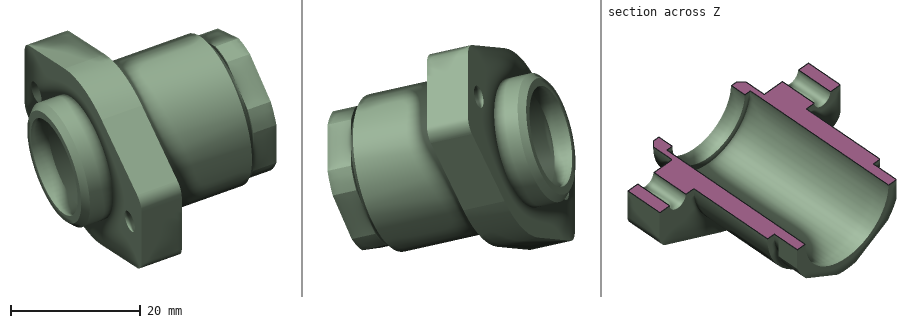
import cadquery as cq
import math

SPIGOT_END = 0.0
FLANGE_FRONT = 5.0
FLANGE_BACK = 12.0
BODY_END = 28.0
NECK_END = 29.0
NUT_END = 33.0

SPIGOT_DIAMETER = 20.5
SPIGOT_CHAMFER = 1.0
BODY_DIAMETER = 25.0
NECK_DIAMETER = 22.0

FLANGE_LENGTH = 40.0
FLANGE_HEIGHT = 30.0
FLANGE_SLOPE = math.radians(25.0)
FLANGE_CORNER_RADIUS = 2.55
MOUNTING_HOLE_SPACING = 32.0
MOUNTING_HOLE_DIAMETER = 3.5

NUT_ACROSS_FLATS = 22.0
NUT_CORNER_DIAMETER = 23.5

BORE_DIAMETER = 16.0
ENTRY_LENGTH = 3.0
WIDE_BORE_DIAMETER = 18.4


def plane_at(y):
    """Plane facing +Y at the given position, with its local y axis along -Z."""
    return cq.Workplane("XZ", origin=(0, y, 0)).transformed(rotate=(180, 0, 0))


def cylinder(diameter, start, end):
    """Round bar on the Y axis between two positions."""
    return plane_at(start).circle(diameter / 2).extrude(end - start)


def make_flange():
    """Rounded diamond plate with straight ends and two mounting holes."""
    half_length = FLANGE_LENGTH / 2
    crown_radius = FLANGE_HEIGHT / 2
    crown_x = crown_radius * math.sin(FLANGE_SLOPE)
    crown_z = crown_radius * math.cos(FLANGE_SLOPE)
    corner_z = crown_z - (half_length - crown_x) * math.tan(FLANGE_SLOPE)

    plate = (
        plane_at(FLANGE_FRONT)
        .moveTo(-crown_x, crown_z)
        .threePointArc((0, crown_radius), (crown_x, crown_z))
        .lineTo(half_length, corner_z)
        .lineTo(half_length, -corner_z)
        .lineTo(crown_x, -crown_z)
        .threePointArc((0, -crown_radius), (-crown_x, -crown_z))
        .lineTo(-half_length, -corner_z)
        .lineTo(-half_length, corner_z)
        .close()
        .extrude(FLANGE_BACK - FLANGE_FRONT)
    )
    end_corners = plate.faces("<X or >X").edges("|Y")
    plate = end_corners.fillet(FLANGE_CORNER_RADIUS)

    holes = (
        plane_at(FLANGE_FRONT)
        .rarray(MOUNTING_HOLE_SPACING, 0.4, 2, 1)
        .circle(MOUNTING_HOLE_DIAMETER / 2)
        .extrude(FLANGE_BACK - FLANGE_FRONT)
    )
    return plate.cut(holes)


def make_nut():
    """Hexagon with flats facing +X and -X, its corners turned to a circle."""
    across_corners = NUT_ACROSS_FLATS / math.cos(math.pi / 6)
    hexagon = (
        plane_at(NECK_END)
        .transformed(rotate=(0, 0, 90))
        .polygon(6, across_corners)
        .extrude(NUT_END - NECK_END)
    )
    return hexagon.intersect(cylinder(NUT_CORNER_DIAMETER, NECK_END, NUT_END))


spigot = cylinder(SPIGOT_DIAMETER, SPIGOT_END, FLANGE_FRONT).faces("<Y").chamfer(SPIGOT_CHAMFER)
body = cylinder(BODY_DIAMETER, FLANGE_BACK, BODY_END)
neck = cylinder(NECK_DIAMETER, BODY_END, NECK_END)
entry_bore = cylinder(BORE_DIAMETER, SPIGOT_END, ENTRY_LENGTH)
wide_bore = cylinder(WIDE_BORE_DIAMETER, ENTRY_LENGTH, NUT_END)

result = (
    spigot.union(make_flange())
    .union(body)
    .union(neck)
    .union(make_nut())
    .cut(entry_bore)
    .cut(wide_bore)
)